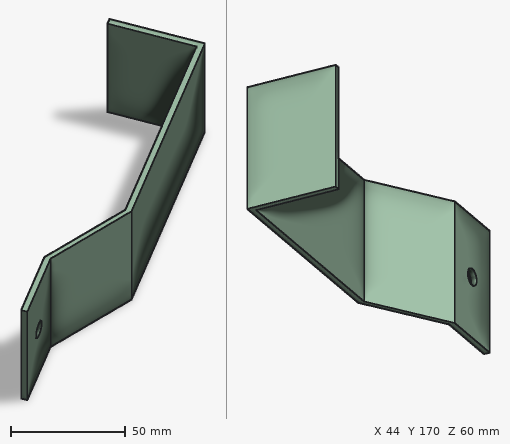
import cadquery as cq

width = 44.0
length = 170.0
height = 60.0
thickness = 2.9

tab_left = 16.2
tab_right = tab_left + thickness
wall_left = width - thickness

tab_bend = 32.0
wall_bend = 68.8

hole_diameter = 8.0
hole_y = 16.0

profile = [
    (tab_left, 0),
    (tab_right, 0),
    (tab_right, tab_bend),
    (width, wall_bend),
    (width, length),
    (0, length),
    (0, length - thickness),
    (wall_left, length - thickness),
    (wall_left, wall_bend),
    (tab_left, tab_bend),
]
strip = cq.Workplane("XY").polyline(profile).close().extrude(height)

hole = (
    cq.Workplane("YZ")
    .center(hole_y, height / 2)
    .circle(hole_diameter / 2)
    .extrude(width)
)

result = strip.cut(hole)